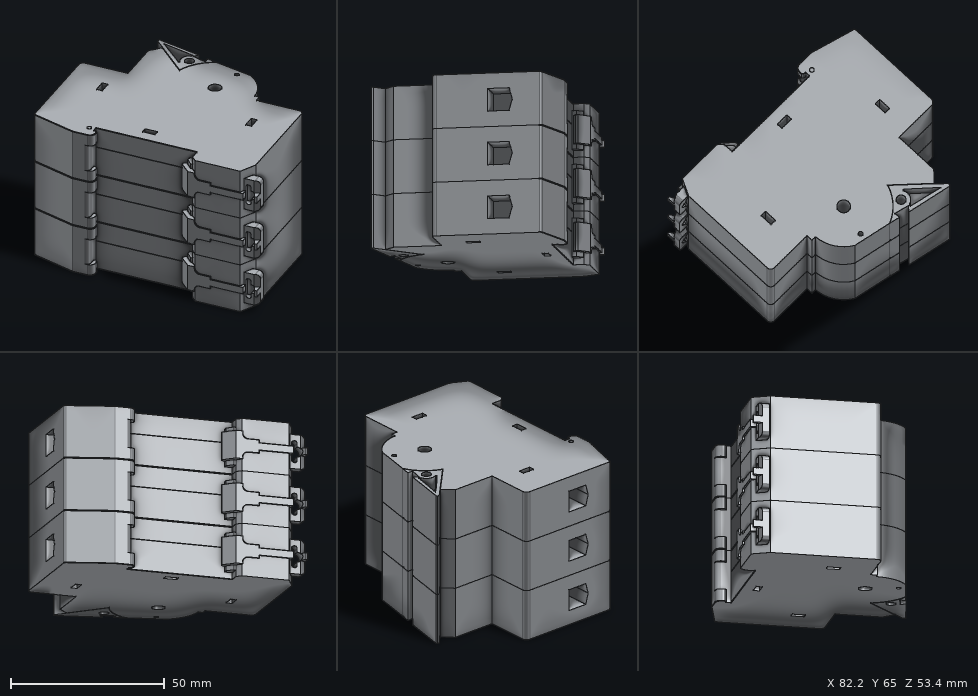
import cadquery as cq
import math

MODULE_COUNT = 3
STACK_HEIGHT = 53.4
MODULE_HEIGHT = STACK_HEIGHT / MODULE_COUNT
LENGTH = 82.2
DEPTH = 65.05

BODY_RIGHT = 78.95
BODY_BASE_Y = 0.6
LEFT_SHOULDER_Y = 41.5
RIGHT_SHOULDER_Y = 43.5
SHOULDER_FILLET = 1.65
TOWER_LEFT = 16.9
TOWER_BEVEL_START_Y = 57.3
BASE_SLOPE_TOP_Y = 5.1
BASE_SLOPE_END_X = 15.9
BASE_CORNER_FILLET = 0.8
STEP_INNER_X = 60.4
STEP_OUTER_X = 62.0
STEP_Y = 45.7
RIM_STEP = 0.2

RAIL_LEFT = 21.9
RAIL_RIGHT = 58.15
RAIL_FLOOR_Y = 5.75
HOOK_TIP_X = 23.3
HOOK_TOP_Y = 4.2
HOOK_RADIUS = 2.0
HOOK_TIP_CHAMFER = 0.65
HOOK_GAP_HEIGHT = 9.5
HOOK_GAP_ROUND = 1.5
FLOOR_SEAM_Z = 10.5
FLOOR_SEAM_SIZE = 0.1
FOOT_LEFT = 59.8
FOOT_BEVEL_Y = 2.2
FOOT_RIGHT = 76.0
FOOT_BEVEL_TOP_Y = 6.3

PIVOT = (46.5, 45.1)
PIVOT_HOLE_DIAMETER = 4.4
TOWER_RADIUS = 13.9
TOWER_CURVE_END_X = 53.5
LEVER_CURVE_RADIUS = 16.0
LEVER_CURVE_TOP_X = 40.3
LEVER_CORNER_X = 31.3

SMALL_HOLE = (49.4, 55.6)
SMALL_HOLE_DIAMETER = 1.6
DIMPLE = (19.9, 5.0)
DIMPLE_DIAMETER = 1.6
DIMPLE_DEPTH = 0.1

SLOT_LONG = 4.4
SLOT_SHORT = 2.05
SIDE_SLOT_Y = 30.2
SIDE_SLOT_XS = (12.9, 66.4)
BASE_SLOT = (38.9, 10.9)

TERMINAL_Y_MIN = 14.8
TERMINAL_SHOULDER_Y = 15.9
TERMINAL_Y_MAX = 22.95
TERMINAL_HEIGHT = 7.5
TERMINAL_DEPTH = 9.9

LEVER_LEFT = 17.1
LEVER_TIP_Y = 64.1
LEVER_TIP_CHAMFER = 0.3
LEVER_NOTCH = ((36.5, 60.8), (36.7, 58.7), (31.7, 60.0), (33.1, 61.7))
LEVER_GAP = 0.25
LEVER_SEAM = 0.1
LEVER_HOLE = (31.8, 56.9)
LEVER_HOLE_DIAMETER = 3.2
LEVER_BOSS_DIAMETER = 6.25
LEVER_POCKET = ((19.7, 63.3), (31.3, 60.6), (30.8, 59.6), (30.8, 56.9), (29.0, 55.0), (28.6, 55.0))
LEVER_POCKET_DEPTH = 4.9

CLIP_Z = 8.6
CLIP_HEAD_HEIGHT = 9.4
CLIP_HEAD_END_X = 59.8
CLIP_NECK_HEIGHT = 4.4
CLIP_NECK_END_X = 65.55
CLIP_NECK_FILLET = 2.0
CLIP_ROD_HEIGHT = 2.5
CLIP_ROD_END_X = 77.3
CLIP_WING_HEIGHT = 12.75
CLIP_NOSE_X = 53.9
CLIP_NOSE_BOTTOM_Y = 3.45
CLIP_NOSE_TOP_Y = 4.2
CLIP_NOSE_ROOT_Y = 5.3
CLIP_BEVEL_END_X = 57.5
CLIP_WING_X = 55.5
CLIP_WING_BOTTOM_Y = 4.3

HANDLE_HEIGHT = 11.6
HANDLE_LEFT = 76.7
HANDLE_BEVEL_X = 80.35
HANDLE_BOTTOM_Y = 2.05
HANDLE_TIP_Y = 3.0
HANDLE_TOP_Y = 5.35
HANDLE_CORNER_RADIUS = 1.65
HANDLE_SLOT_X = (77.4, 79.3)
HANDLE_SLOT_HEIGHT = 7.4
HANDLE_EYE_DIAMETER = 3.2
TAB_HEIGHT = 2.3
TAB_TIP_X = 81.5


def on_pivot_circle(radius, x):
    """Upper point at x on the circle of this radius about the pivot."""
    return (x, PIVOT[1] + math.sqrt(radius ** 2 - (x - PIVOT[0]) ** 2))


def pivot_arc_middle(radius, start, end):
    """Point halfway along the short arc about the pivot between two points."""
    a = math.atan2(start[1] - PIVOT[1], start[0] - PIVOT[0])
    b = math.atan2(end[1] - PIVOT[1], end[0] - PIVOT[0])
    middle = (a + b) / 2
    return (PIVOT[0] + radius * math.cos(middle), PIVOT[1] + radius * math.sin(middle))


def polar_point(centre, radius, angle):
    """Point at this radius and angle in degrees about the centre."""
    return (
        centre[0] + radius * math.cos(math.radians(angle)),
        centre[1] + radius * math.sin(math.radians(angle)),
    )


def slab(points, z_middle, height):
    """Closed polygon in XY, extruded symmetrically about z_middle."""
    return (
        cq.Workplane("XY").workplane(offset=z_middle - height / 2)
        .polyline(points).close().extrude(height)
    )


LEVER_CORNER = on_pivot_circle(LEVER_CURVE_RADIUS, LEVER_CORNER_X)
LEVER_CURVE_TOP = on_pivot_circle(LEVER_CURVE_RADIUS, LEVER_CURVE_TOP_X)
LEVER_CURVE_MIDDLE = pivot_arc_middle(LEVER_CURVE_RADIUS, LEVER_CORNER, LEVER_CURVE_TOP)


def housing_layer(inset, z_start, height):
    """Housing outline extruded; inset pulls in the rail-side edges left of the clip."""
    base_y = BODY_BASE_Y + inset
    hook_x = HOOK_TIP_X - inset
    hook_top = HOOK_TOP_Y - inset
    hook_centre = (hook_x - HOOK_RADIUS, base_y + HOOK_RADIUS)
    tower_low = (STEP_INNER_X, STEP_Y)
    tower_high = on_pivot_circle(TOWER_RADIUS, TOWER_CURVE_END_X)
    lever_slope = (LEVER_CORNER[1] - LEVER_TIP_Y) / (LEVER_CORNER_X - LEVER_LEFT)
    bevel_run = (
        LEVER_TIP_Y - LEVER_GAP + lever_slope * (TOWER_LEFT - LEVER_LEFT) - TOWER_BEVEL_START_Y
    ) / (1 - lever_slope)
    bevel_end = (TOWER_LEFT + bevel_run, TOWER_BEVEL_START_Y + bevel_run)
    layer = (
        cq.Workplane("XY").workplane(offset=z_start)
        .moveTo(0, BASE_SLOPE_TOP_Y + inset)
        .lineTo(BASE_SLOPE_END_X, base_y)
        .lineTo(hook_centre[0], base_y)
        .threePointArc(polar_point(hook_centre, HOOK_RADIUS, -45), (hook_x, hook_centre[1]))
        .lineTo(hook_x, hook_top - HOOK_TIP_CHAMFER)
        .lineTo(hook_x - HOOK_TIP_CHAMFER, hook_top)
        .lineTo(RAIL_LEFT, hook_top)
        .lineTo(RAIL_LEFT, RAIL_FLOOR_Y + inset)
        .lineTo(RAIL_RIGHT, RAIL_FLOOR_Y + inset)
        .lineTo(RAIL_RIGHT, FOOT_BEVEL_Y)
        .lineTo(FOOT_LEFT, BODY_BASE_Y)
        .lineTo(FOOT_RIGHT, BODY_BASE_Y)
        .lineTo(BODY_RIGHT, FOOT_BEVEL_TOP_Y)
        .lineTo(BODY_RIGHT, RIGHT_SHOULDER_Y)
        .lineTo(STEP_OUTER_X, RIGHT_SHOULDER_Y)
        .lineTo(STEP_OUTER_X, STEP_Y)
        .lineTo(*tower_low)
        .threePointArc(pivot_arc_middle(TOWER_RADIUS, tower_low, tower_high), tower_high)
        .lineTo(*LEVER_CURVE_TOP)
        .threePointArc(LEVER_CURVE_MIDDLE, LEVER_CORNER)
        .lineTo(LEVER_CORNER_X, LEVER_CORNER[1] - LEVER_GAP)
        .lineTo(*bevel_end)
        .lineTo(TOWER_LEFT, TOWER_BEVEL_START_Y)
        .lineTo(TOWER_LEFT, LEFT_SHOULDER_Y)
        .lineTo(0, LEFT_SHOULDER_Y)
        .close().extrude(height)
    )
    z_middle = z_start + height / 2
    corners = (
        (0, LEFT_SHOULDER_Y, SHOULDER_FILLET),
        (BODY_RIGHT, RIGHT_SHOULDER_Y, SHOULDER_FILLET),
        (0, BASE_SLOPE_TOP_Y + inset, BASE_CORNER_FILLET),
    )
    for x, y, radius in corners:
        corner_edge = cq.NearestToPointSelector((x, y, z_middle))
        layer = layer.edges("|Z").edges(corner_edge).fillet(radius)
    return layer


def housing_shell():
    core = housing_layer(0, RIM_STEP, MODULE_HEIGHT - 2 * RIM_STEP)
    return housing_layer(RIM_STEP, 0, MODULE_HEIGHT).union(core)


def lever():
    body = (
        cq.Workplane("XY")
        .moveTo(LEVER_LEFT + LEVER_TIP_CHAMFER, DEPTH)
        .lineTo(LEVER_LEFT, DEPTH - LEVER_TIP_CHAMFER)
        .lineTo(LEVER_LEFT, LEVER_TIP_Y)
        .lineTo(*LEVER_CORNER)
        .threePointArc(LEVER_CURVE_MIDDLE, LEVER_CURVE_TOP)
    )
    for point in LEVER_NOTCH:
        body = body.lineTo(*point)
    body = body.close().extrude(MODULE_HEIGHT)
    pocket_floor = MODULE_HEIGHT - LEVER_POCKET_DEPTH
    boss = (
        cq.Workplane("XY").workplane(offset=pocket_floor)
        .center(*LEVER_HOLE).circle(LEVER_BOSS_DIAMETER / 2).extrude(LEVER_POCKET_DEPTH)
    )
    pocket = slab(LEVER_POCKET, pocket_floor + LEVER_POCKET_DEPTH / 2, LEVER_POCKET_DEPTH).cut(boss)
    return body.cut(pocket)


def lever_seam():
    """Shallow curved groove between lever and housing on both flat faces."""
    ring = (
        cq.Workplane("XY").center(*PIVOT)
        .circle(LEVER_CURVE_RADIUS + LEVER_SEAM).circle(LEVER_CURVE_RADIUS)
        .extrude(LEVER_SEAM)
    )
    sector = slab(
        [LEVER_CORNER, PIVOT, LEVER_CURVE_TOP, (LEVER_CORNER_X, LEVER_CURVE_TOP[1])],
        0, MODULE_HEIGHT,
    )
    groove = ring.intersect(sector)
    return groove.union(groove.translate((0, 0, MODULE_HEIGHT - LEVER_SEAM)))


def round_hole(centre, diameter):
    return cq.Workplane("XY").center(*centre).circle(diameter / 2).extrude(MODULE_HEIGHT)


def slot(centre, size_x, size_y):
    return cq.Workplane("XY").center(*centre).rect(size_x, size_y).extrude(MODULE_HEIGHT)


def through_openings():
    openings = slot(BASE_SLOT, SLOT_LONG, SLOT_SHORT)
    for x in SIDE_SLOT_XS:
        openings = openings.union(slot((x, SIDE_SLOT_Y), SLOT_SHORT, SLOT_LONG))
    holes = (
        (PIVOT, PIVOT_HOLE_DIAMETER),
        (SMALL_HOLE, SMALL_HOLE_DIAMETER),
        (LEVER_HOLE, LEVER_HOLE_DIAMETER),
    )
    for centre, diameter in holes:
        openings = openings.union(round_hole(centre, diameter))
    return openings


def terminal_opening():
    """Five-sided pocket driven into the left wall, pointed toward the rail."""
    z_middle = MODULE_HEIGHT / 2
    half = TERMINAL_HEIGHT / 2
    return (
        cq.Workplane("YZ")
        .moveTo(TERMINAL_Y_MAX, z_middle - half)
        .lineTo(TERMINAL_Y_MAX, z_middle + half)
        .lineTo(TERMINAL_SHOULDER_Y, z_middle + half)
        .lineTo(TERMINAL_Y_MIN, z_middle)
        .lineTo(TERMINAL_SHOULDER_Y, z_middle - half)
        .close().extrude(TERMINAL_DEPTH)
    )


def hook_gap():
    """Middle stretch of the hook, cut back flush with the rail opening wall."""
    z_start = (MODULE_HEIGHT - HOOK_GAP_HEIGHT) / 2
    centre = (RAIL_LEFT - HOOK_GAP_ROUND, BODY_BASE_Y + HOOK_GAP_ROUND)
    return (
        cq.Workplane("XY").workplane(offset=z_start)
        .moveTo(centre[0], BODY_BASE_Y)
        .threePointArc(polar_point(centre, HOOK_GAP_ROUND, -45), (RAIL_LEFT, centre[1]))
        .lineTo(RAIL_LEFT, HOOK_TOP_Y)
        .lineTo(HOOK_TIP_X, HOOK_TOP_Y)
        .lineTo(HOOK_TIP_X, BODY_BASE_Y)
        .close().extrude(HOOK_GAP_HEIGHT)
    )


def floor_seam():
    """Hairline groove along the floor of the rail opening."""
    size = (RAIL_RIGHT - RAIL_LEFT, FLOOR_SEAM_SIZE, FLOOR_SEAM_SIZE)
    return (
        cq.Workplane("XY").box(*size, centered=(False, False, True))
        .translate((RAIL_LEFT, RAIL_FLOOR_Y, FLOOR_SEAM_Z))
    )


def dimple():
    return (
        cq.Workplane("XY").workplane(offset=MODULE_HEIGHT - DIMPLE_DEPTH)
        .center(*DIMPLE).circle(DIMPLE_DIAMETER / 2).extrude(DIMPLE_DEPTH)
    )


def clip_slide():
    """Hooked head, tapered neck and rod that run under the housing foot."""
    head = slab(
        [
            (CLIP_NOSE_X, CLIP_NOSE_BOTTOM_Y), (CLIP_BEVEL_END_X, 0), (CLIP_HEAD_END_X, 0),
            (CLIP_HEAD_END_X, FOOT_BEVEL_Y), (RAIL_RIGHT, RAIL_FLOOR_Y),
            (CLIP_WING_X, RAIL_FLOOR_Y), (CLIP_WING_X, CLIP_NOSE_ROOT_Y),
            (CLIP_NOSE_X, CLIP_NOSE_TOP_Y),
        ],
        CLIP_Z, CLIP_HEAD_HEIGHT,
    )
    wings = slab(
        [
            (CLIP_WING_X, CLIP_WING_BOTTOM_Y), (CLIP_BEVEL_END_X, FOOT_BEVEL_Y),
            (RAIL_RIGHT, FOOT_BEVEL_Y),
            (RAIL_RIGHT, RAIL_FLOOR_Y), (CLIP_WING_X, RAIL_FLOOR_Y),
        ],
        CLIP_Z, CLIP_WING_HEIGHT,
    )
    return head.union(wings).union(clip_neck()).union(clip_rod())


def clip_neck():
    neck = slab(
        [(CLIP_HEAD_END_X, 0), (CLIP_NECK_END_X, 0), (CLIP_NECK_END_X, BODY_BASE_Y),
         (CLIP_HEAD_END_X, BODY_BASE_Y)],
        CLIP_Z, CLIP_NECK_HEIGHT,
    )
    flare = slab(
        [(CLIP_HEAD_END_X, 0), (CLIP_HEAD_END_X + CLIP_NECK_FILLET, 0),
         (CLIP_HEAD_END_X + CLIP_NECK_FILLET, BODY_BASE_Y), (CLIP_HEAD_END_X, BODY_BASE_Y)],
        CLIP_Z, CLIP_NECK_HEIGHT + 2 * CLIP_NECK_FILLET,
    )
    rounds = (
        cq.Workplane("XZ")
        .pushPoints([
            (CLIP_HEAD_END_X + CLIP_NECK_FILLET,
             CLIP_Z + side * (CLIP_NECK_HEIGHT / 2 + CLIP_NECK_FILLET))
            for side in (-1, 1)
        ])
        .circle(CLIP_NECK_FILLET).extrude(-BODY_BASE_Y)
    )
    return neck.union(flare.cut(rounds))


def clip_rod():
    return slab(
        [(CLIP_NECK_END_X, 0), (CLIP_ROD_END_X, 0), (CLIP_ROD_END_X, HANDLE_BOTTOM_Y),
         (HANDLE_LEFT, HANDLE_BOTTOM_Y), (FOOT_RIGHT, BODY_BASE_Y), (CLIP_NECK_END_X, BODY_BASE_Y)],
        CLIP_Z, CLIP_ROD_HEIGHT,
    )


def clip_handle():
    """Rounded plate with a slot and eye, and a narrow tab on its underside."""
    plate = slab(
        [(HANDLE_LEFT, HANDLE_BOTTOM_Y), (HANDLE_BEVEL_X, HANDLE_BOTTOM_Y),
         (LENGTH, HANDLE_TIP_Y), (LENGTH, HANDLE_TOP_Y), (HANDLE_LEFT, HANDLE_TOP_Y)],
        CLIP_Z, HANDLE_HEIGHT,
    )
    plate = plate.edges("|Y and >X").fillet(HANDLE_CORNER_RADIUS)
    slot_left, slot_right = HANDLE_SLOT_X
    grip = (
        cq.Workplane("XZ").center((slot_left + slot_right) / 2, CLIP_Z)
        .slot2D(HANDLE_SLOT_HEIGHT, slot_right - slot_left, 90).extrude(-HANDLE_TOP_Y)
    )
    eye = (
        cq.Workplane("XZ").center(slot_right, CLIP_Z)
        .circle(HANDLE_EYE_DIAMETER / 2).extrude(-HANDLE_TOP_Y)
    )
    tab = slab(
        [(HANDLE_BEVEL_X, HANDLE_BOTTOM_Y), (TAB_TIP_X, 0), (LENGTH, 0), (LENGTH, HANDLE_TIP_Y)],
        CLIP_Z, TAB_HEIGHT,
    )
    return plate.union(tab).cut(grip).cut(eye)


def module():
    """One fuse-switch module standing on z = 0."""
    return (
        housing_shell()
        .cut(hook_gap())
        .cut(floor_seam())
        .cut(dimple())
        .union(lever())
        .cut(lever_seam())
        .cut(through_openings())
        .cut(terminal_opening())
        .union(clip_slide())
        .union(clip_handle())
    )


single_module = module()
modules = [single_module.translate((0, 0, i * MODULE_HEIGHT)).val() for i in range(MODULE_COUNT)]
result = cq.Compound.makeCompound(modules)